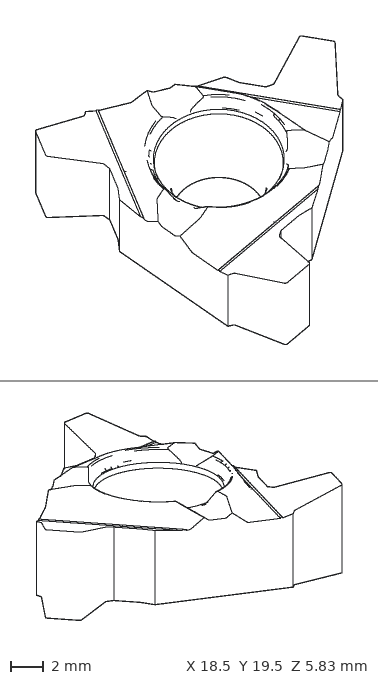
import cadquery as cq
import math

SIDES = 3
STEP = 360 / SIDES
height = 5.83
side_distance = 6.32
base_radius = 11.7
TOLERANCE = 0.002

tip_y = -10.1
tip_x = -3.95
tip_half_width = 1.1
tip_radius = 0.15
flank_angle = 15
neck_y = -6.47
neck_slope = 30
neck_radius = 0.15
neck_right_x = -1.52
relief_x = 0.14
side_end_y = 2.42

floor_z = 4.6
rake_angle = 15
rake_start_y = -5.73
rake_blend_radius = 0.58

island_radius = 4.74
island_round_radius = 0.12
island_arc_angle = 30
foot_y = -5.55
foot_corner_x = -1.01
foot_corner_radius = 0.1
foot_slope = 20.7
foot_blend_radius = 0.15

slot_angle = 195
slot_offset = 0.08
slot_floor_z = 5.07
slot_half_width = 0.53
slot_top_half_width = 1.52
slot_blend_radius = 0.2

hole_radius = 2.85
throat_z = 2.03
flare_radius = 3.9
rim_radius = 3.92
ledge_z = slot_floor_z
ledge_inner_radius = 3.98
ledge_outer_radius = 4.23
ledge_blend_radius = 0.18
mouth_radius = 4.43
mouth_round_radius = 0.12


def turned(point, angle):
    """Turn a point about the hole axis by an angle in degrees."""
    x, y = point
    c = math.cos(math.radians(angle))
    s = math.sin(math.radians(angle))
    return (c * x - s * y, s * x + c * y)


def polar(radius, angle):
    return turned((radius, 0), angle)


def meet(p, p_angle, q, q_angle):
    """Crossing point of two lines, each given by a point and a direction angle."""
    px, py = turned((1, 0), p_angle)
    qx, qy = turned((1, 0), q_angle)
    dx, dy = q[0] - p[0], q[1] - p[1]
    t = (dx * qy - dy * qx) / (px * qy - py * qx)
    return (p[0] + t * px, p[1] + t * py)


def tooth_points():
    """Outline of one side wall and its tooth, up to the start of the next side wall."""
    tip_left = (tip_x - tip_half_width, tip_y)
    tip_right = (tip_x + tip_half_width, tip_y)
    neck_left = (-side_distance, neck_y)
    neck_right = (neck_right_x, neck_y)
    return [
        (-side_distance, side_end_y),
        neck_left,
        meet(neck_left, -neck_slope, tip_left, 90 + flank_angle),
        tip_left,
        tip_right,
        meet(neck_right, neck_slope, tip_right, 90 - flank_angle),
        neck_right,
        (relief_x, neck_y),
    ]


def outline_prism():
    tooth = tooth_points()
    points = [turned(p, i * STEP) for i in range(SIDES) for p in tooth]
    prism = cq.Workplane("XY").polyline(points).close().extrude(height)
    _, _, flank_start, tip_left, tip_right, flank_end, _, _ = tooth
    rounded = [(flank_start, neck_radius), (tip_left, tip_radius),
               (tip_right, tip_radius), (flank_end, neck_radius)]
    for i in range(SIDES):
        for point, radius in rounded:
            x, y = turned(point, i * STEP)
            corner = cq.selectors.NearestToPointSelector((x, y, height / 2))
            prism = prism.edges("|Z").edges(corner).fillet(radius)
    return prism


def rake_wedge():
    """Wedge under the rake face of the -Y tooth, blended into the gully floor."""
    overrun = 0.2
    reach = rake_start_y - tip_y + overrun
    rise = reach * math.tan(math.radians(rake_angle))
    blend = rake_blend_radius * math.tan(math.radians(rake_angle / 2))
    blend_end = (
        rake_start_y - blend * math.cos(math.radians(rake_angle)),
        floor_z + blend * math.sin(math.radians(rake_angle)),
    )
    return (
        cq.Workplane("YZ", origin=(-base_radius, 0, 0))
        .moveTo(rake_start_y + blend, 0)
        .lineTo(rake_start_y + blend, floor_z)
        .tangentArcPoint(blend_end, relative=False)
        .lineTo(rake_start_y - reach, floor_z + rise)
        .lineTo(rake_start_y - reach, 0)
        .close()
        .extrude(2 * base_radius)
    )


def island_wire(z, arcs, corners):
    """Closed wire of arcs joined by two straight edges through each outer corner."""
    wire = cq.Workplane("XY", origin=(0, 0, z)).moveTo(*arcs[0][0])
    for i in range(SIDES):
        start, middle, end = arcs[i]
        wire = wire.threePointArc(middle, end).lineTo(*corners[i])
        wire = wire.lineTo(*arcs[(i + 1) % SIDES][0])
    return wire.close()


def island():
    """Ruled wall between a rounded three-corner top edge and a wider foot."""
    corner = (foot_corner_x, foot_y)
    inset = foot_corner_radius * math.tan(math.radians(foot_slope / 2))
    along = turned((inset, 0), -foot_slope)
    foot_start = (corner[0] - along[0], corner[1] - along[1])
    foot_end = (corner[0] + inset, corner[1])
    bulge = foot_corner_radius * (1 / math.cos(math.radians(foot_slope / 2)) - 1)
    lift = turned((0, bulge), -foot_slope / 2)
    foot_middle = (corner[0] + lift[0], corner[1] + lift[1])
    foot_outer = meet(corner, 0, turned(corner, STEP), STEP - foot_slope)

    top_start, top_middle, top_end = [
        polar(island_radius, 270 - island_arc_angle * k) for k in (1, 0.5, 0)
    ]
    top_outer = meet(top_end, 0, turned(top_start, STEP), STEP - island_arc_angle)

    def copies(points):
        return [[turned(p, i * STEP) for p in points] for i in range(SIDES)]

    foot = island_wire(floor_z, copies((foot_start, foot_middle, foot_end)),
                       [turned(foot_outer, i * STEP) for i in range(SIDES)])
    top = island_wire(height, copies((top_start, top_middle, top_end)),
                      [turned(top_outer, i * STEP) for i in range(SIDES)])
    return cq.Workplane(cq.Solid.makeLoft([foot.val(), top.val()], True))


def slot_cutter():
    """Trapezoidal groove running outwards along +X from the hole axis."""
    slope = (height - slot_floor_z) / (slot_top_half_width - slot_half_width)
    over = 0.39
    top_half = slot_top_half_width + over / slope
    top_z = height + over
    return (
        cq.Workplane("YZ", origin=(0, -slot_offset, 0))
        .polyline([(-slot_half_width, slot_floor_z), (slot_half_width, slot_floor_z),
                   (top_half, top_z), (-top_half, top_z)])
        .close()
        .extrude(base_radius)
        .edges("|X").edges("<Z")
        .fillet(slot_blend_radius)
    )


def hole_cutter():
    """Through hole with a flared throat, a narrow ledge and a wider mouth."""
    centre_r = hole_radius + flare_radius
    flare_end = math.acos((centre_r - rim_radius) / flare_radius)
    rim_z = throat_z + flare_radius * math.sin(flare_end)
    flare_middle = (
        centre_r - flare_radius * math.cos(flare_end / 2),
        throat_z + flare_radius * math.sin(flare_end / 2),
    )
    throat = (
        cq.Workplane("XZ")
        .lineTo(hole_radius, 0)
        .lineTo(hole_radius, throat_z)
        .threePointArc(flare_middle, (rim_radius, rim_z))
        .lineTo(ledge_inner_radius, ledge_z)
        .lineTo(0, ledge_z)
        .close()
        .revolve(360, (0, 0), (0, 1))
    )
    mouth = (
        cq.Workplane("XZ", origin=(0, 0, ledge_z))
        .lineTo(ledge_outer_radius, 0)
        .lineTo(mouth_radius, height - ledge_z)
        .lineTo(0, height - ledge_z)
        .close()
        .revolve(360, (0, 0), (0, 1))
        .faces("<Z").edges()
        .fillet(ledge_blend_radius)
    )
    return throat.union(mouth)


def level_edges(solid, z):
    """Edges of the island that lie at height z, without the base disc's own rim."""
    return [
        edge for edge in solid.edges().vals()
        if edge.BoundingBox().zlen < TOLERANCE
        and abs(edge.Center().z - z) < TOLERANCE
        and edge.Length() < 2 * base_radius
    ]


def top_surfaces():
    """Floor disc with the blended island and the three rake wedges on it."""
    base = cq.Workplane("XY").circle(base_radius).extrude(floor_z)
    raised = base.union(island())
    raised = raised.newObject(level_edges(raised, floor_z)).fillet(foot_blend_radius)
    raised = raised.newObject(level_edges(raised, height)).fillet(island_round_radius)
    for i in range(SIDES):
        raised = raised.union(rake_wedge().rotate((0, 0, 0), (0, 0, 1), i * STEP))
    return raised


def round_mouth(body):
    """Round the stretches of the hole's mouth left between the slots."""
    mouth_edges = [
        edge for edge in level_edges(body, height)
        if edge.geomType() == "CIRCLE" and abs(edge.radius() - mouth_radius) < TOLERANCE
    ]
    return body.newObject(mouth_edges).fillet(mouth_round_radius)


result = outline_prism().intersect(top_surfaces())
for i in range(SIDES):
    result = result.cut(slot_cutter().rotate((0, 0, 0), (0, 0, 1), slot_angle + i * STEP))
result = round_mouth(result.cut(hole_cutter()))